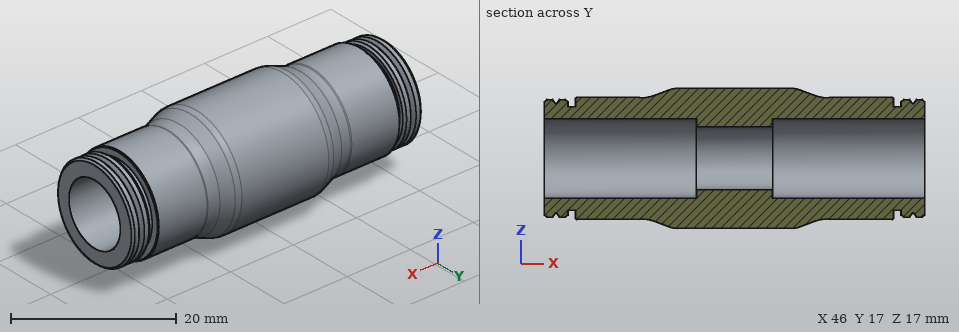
import cadquery as cq
import math

length = 45.95
half_length = length / 2

ring_radius = 7.13
ring_end_radius = 6.85
ring_chamfer = 0.3
ring_land = 0.7
ring_groove_radius = 6.57
ring_groove_width = 0.85
neck_radius = 6.3
ring_back_chamfer = 0.35
collar_length = 3.75

sleeve_radius = 7.4
sleeve_edge_chamfer = 0.15
middle_radius = 8.5
flare_base_radius = 7.35
sleeve_end = 11.5
flare_start = 11.68
flare_end = 16.1
lower_blend_length = 1.65
upper_blend_length = 0.9

socket_radius = 4.8
socket_depth = 18.4
bore_radius = 3.75

cone_run = flare_end - flare_start - (lower_blend_length + upper_blend_length) / 2
cone_angle = math.atan2(middle_radius - flare_base_radius, cone_run)


def blend_radius(blend_length):
    """Radius of an arc that turns by the cone angle over an axial length."""
    return blend_length / math.sin(cone_angle)


def arc_rise(blend_length, angle):
    """Radial distance an arc leaves its axial tangent after turning by angle."""
    return blend_radius(blend_length) * (1 - math.cos(angle))


def arc_run(blend_length, angle):
    """Axial distance covered by an arc after turning by angle."""
    return blend_radius(blend_length) * math.sin(angle)


def make_half():
    """Solid end half, from the end face at negative X to the middle plane."""
    end = -half_length
    first_land_end = end + ring_chamfer + ring_land
    second_land_start = first_land_end + ring_groove_width
    second_land_end = second_land_start + ring_land
    ring_back = second_land_end + ring_back_chamfer
    sleeve_start = end + collar_length
    flare_base = end + flare_start
    flare_top = end + flare_end
    half_angle = cone_angle / 2

    outline = (
        cq.Workplane("XY")
        .moveTo(end, 0)
        .lineTo(end, ring_end_radius)
        .lineTo(end + ring_chamfer, ring_radius)
        .lineTo(first_land_end, ring_radius)
        .lineTo(first_land_end + ring_groove_width / 2, ring_groove_radius)
        .lineTo(second_land_start, ring_radius)
        .lineTo(second_land_end, ring_radius)
        .lineTo(ring_back, ring_end_radius)
        .lineTo(ring_back, neck_radius)
        .lineTo(sleeve_start, neck_radius)
        .lineTo(sleeve_start, sleeve_radius - sleeve_edge_chamfer)
        .lineTo(sleeve_start + sleeve_edge_chamfer, sleeve_radius)
        .lineTo(end + sleeve_end, sleeve_radius)
        .lineTo(flare_base, flare_base_radius)
        .threePointArc(
            (
                flare_base + arc_run(lower_blend_length, half_angle),
                flare_base_radius + arc_rise(lower_blend_length, half_angle),
            ),
            (
                flare_base + lower_blend_length,
                flare_base_radius + arc_rise(lower_blend_length, cone_angle),
            ),
        )
        .lineTo(
            flare_top - upper_blend_length,
            middle_radius - arc_rise(upper_blend_length, cone_angle),
        )
        .threePointArc(
            (
                flare_top - arc_run(upper_blend_length, half_angle),
                middle_radius - arc_rise(upper_blend_length, half_angle),
            ),
            (flare_top, middle_radius),
        )
        .lineTo(0, middle_radius)
        .lineTo(0, 0)
        .close()
    )
    return outline.revolve(360, (0, 0, 0), (1, 0, 0))


def cut_passage(half):
    """Cut the tube socket and the narrower bore behind it."""
    end_plane = cq.Workplane("YZ", origin=(-half_length, 0, 0))
    socket = end_plane.circle(socket_radius).extrude(socket_depth)
    bore = end_plane.circle(bore_radius).extrude(half_length)
    return half.cut(socket).cut(bore)


left_half = cut_passage(make_half())
result = left_half.union(left_half.mirror("YZ")).clean()